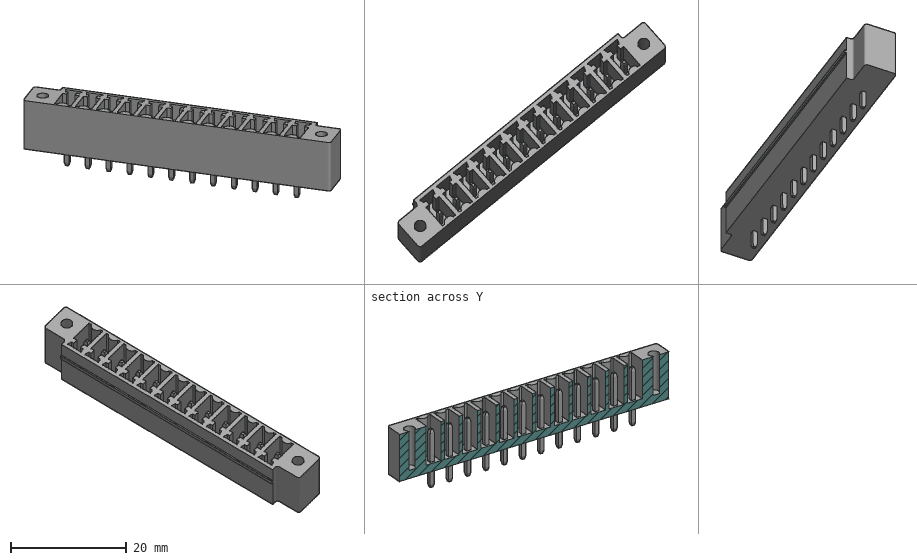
import cadquery as cq

LENGTH = 56.1
HEIGHT = 9.25
FLANGE_DEPTH = 6.05
BODY_DEPTH = 7.3
BODY_LENGTH = 46.45
CORNER_RADIUS = 0.5
FLOOR = 1.7
CAVITY_DEPTH = HEIGHT - FLOOR

RIB_HEIGHT = 0.3
RIB_WIDTH = 0.7
RIB_Z = 6.05

CONTACTS = 12
ROW_SPAN = 41.9
PITCH = ROW_SPAN / (CONTACTS - 1)
ROW_Y = 3.0
PIN_WIDTH = 0.85
PIN_TIP_WIDTH = 0.5
PIN_TIP_LENGTH = 0.6
PIN_BOTTOM = -3.35
PIN_TOP = 7.9

POCKET_WIDTH = 3.0
POCKET_FRONT = 0.5
SHOULDER_Y = 4.9
NECK_WIDTH = 1.5
NECK_END_Y = 5.8
DOVETAIL_WIDTH = 2.5
POCKET_REAR = 6.55
KEY_RADIUS = 1.05
KEY_Y = 0.1

SCREW_DIAMETER = 2.0
SCREW_SPACING = 50.85

contact_points = [((i - (CONTACTS - 1) / 2) * PITCH, ROW_Y) for i in range(CONTACTS)]
screw_points = [(side * SCREW_SPACING / 2, ROW_Y) for side in (-1, 1)]


def make_housing():
    """Stepped block with rounded flange corners and a rear rib."""
    flanges = cq.Workplane("XY").box(LENGTH, FLANGE_DEPTH, HEIGHT, centered=(True, False, False))
    body = cq.Workplane("XY").box(BODY_LENGTH, BODY_DEPTH, HEIGHT, centered=(True, False, False))
    rear_corners = cq.selectors.BoxSelector(
        (-LENGTH, BODY_DEPTH - CORNER_RADIUS, 0),
        (LENGTH, BODY_DEPTH + CORNER_RADIUS, HEIGHT),
    )
    upright_edges = cq.selectors.ParallelDirSelector(cq.Vector(0, 0, 1))
    rounded = flanges.union(body).edges(upright_edges - rear_corners).fillet(CORNER_RADIUS)
    rib = (
        cq.Workplane("YZ", origin=(-BODY_LENGTH / 2, BODY_DEPTH, RIB_Z))
        .rect(2 * RIB_HEIGHT, RIB_WIDTH)
        .extrude(BODY_LENGTH)
    )
    return rounded.union(rib)


def make_pocket(x):
    """Keyed pocket: wide chamber, narrow neck and a dovetail at the rear."""
    right_side = [
        (POCKET_WIDTH / 2, POCKET_FRONT),
        (POCKET_WIDTH / 2, SHOULDER_Y),
        (NECK_WIDTH / 2, SHOULDER_Y),
        (NECK_WIDTH / 2, NECK_END_Y),
        (DOVETAIL_WIDTH / 2, NECK_END_Y),
        (POCKET_WIDTH / 2, POCKET_REAR),
    ]
    left_side = [(-px, py) for px, py in reversed(right_side)]
    floor_plane = cq.Workplane("XY", origin=(x, 0, FLOOR))
    chamber = floor_plane.polyline(right_side + left_side).close().extrude(CAVITY_DEPTH)
    key = floor_plane.center(0, KEY_Y).circle(KEY_RADIUS).extrude(CAVITY_DEPTH)
    return chamber.cut(key)


def make_pin(x, y):
    """Square pin tapered at both ends."""
    shank_length = PIN_TOP - PIN_BOTTOM - 2 * PIN_TIP_LENGTH
    shank = (
        cq.Workplane("XY", origin=(x, y, PIN_BOTTOM + PIN_TIP_LENGTH))
        .rect(PIN_WIDTH, PIN_WIDTH)
        .extrude(shank_length)
    )
    pin = shank
    for face in (">Z", "<Z"):
        tip = (
            shank.faces(face)
            .workplane()
            .rect(PIN_WIDTH, PIN_WIDTH)
            .workplane(offset=PIN_TIP_LENGTH)
            .rect(PIN_TIP_WIDTH, PIN_TIP_WIDTH)
            .loft(combine=False)
        )
        pin = pin.union(tip)
    return pin


def make_screw_holes():
    """Blind holes in the two flanges, level with the pocket floors."""
    return (
        cq.Workplane("XY", origin=(0, 0, FLOOR))
        .pushPoints(screw_points)
        .circle(SCREW_DIAMETER / 2)
        .extrude(CAVITY_DEPTH)
    )


result = make_housing().cut(make_screw_holes())
for contact_x, contact_y in contact_points:
    result = result.cut(make_pocket(contact_x))
    result = result.union(make_pin(contact_x, contact_y))